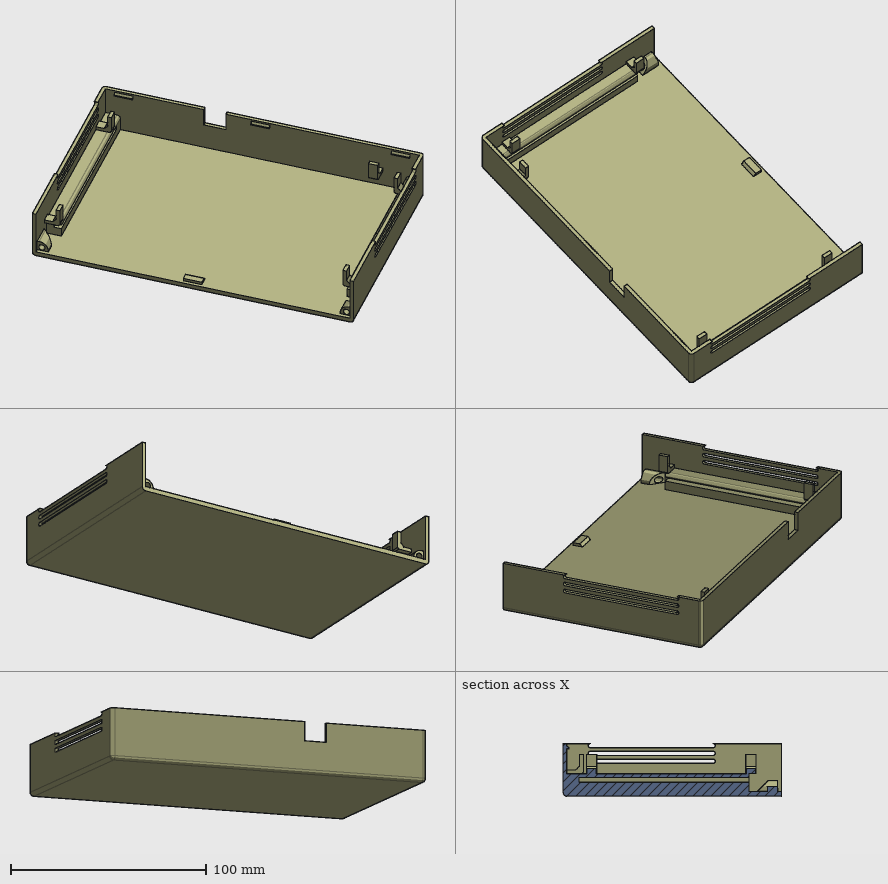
import cadquery as cq

LENGTH = 174.0
DEPTH = 112.0
HEIGHT = 27.0
WALL = 2.0
FLOOR = 2.5
EDGE_RADIUS = 2.0

VENT_FRONT = 34.0
VENT_BACK = 99.0
VENT_WIDTH = 2.0
VENT_PITCH = 4.0
VENT_COUNT = 3

NOTCH_LEFT = 55.2
NOTCH_WIDTH = 12.0
NOTCH_BOTTOM = 17.0

RAIL_FRONT = 16.6
RAIL_TOP = 11.6
RAIL_RADIUS = 1.9
LEFT_RAIL_REACH = 10.1
RIGHT_RAIL_REACH = 9.2
GROOVE_REACH = 6.1
GROOVE_LOW = 7.3
GROOVE_HIGH = 9.6
GROOVE_BACK = 103.7

CLIP_WIDTH = 5.0
CLIP_REACH = 10.4
CLIP_THICKNESS = 2.0
CLIP_TOP = 21.5
CLIP_FOOT = 1.9
CLIP_GUSSET = 1.9
CLIP_RELIEF = 0.8
LEFT_CLIP_CENTERS = (15.7, 97.4)
RIGHT_CLIP_CENTERS = (16.0, 97.0)
BACK_CLIP_CENTER = 149.8

BOSS_FRONT = 2.0
BOSS_REACH = 8.0
BOSS_RADIUS = 5.0
BOSS_SLOPE_SUM = 14.9
SCREW_DIAMETER = 3.3
SCREW_CENTER = 4.5

RIDGE_LENGTH = 10.0
RIDGE_INSET = 12.0
MIDDLE_RIDGE_CENTER = 86.0
RIDGE_DEPTH = 1.0
RIDGE_TOP = 26.0
RIDGE_CREST = 24.9
RIDGE_BOTTOM = 24.3
CATCH_CENTER = 86.2
CATCH_LENGTH = 10.0
CATCH_FRONT = 1.8
CATCH_DEPTH = 5.2
CATCH_FLAT = 3.7
CATCH_HEIGHT = 1.5


def box(x0, x1, y0, y1, z0, z1):
    """Axis-aligned box between two opposite corners."""
    return cq.Workplane("XY").box(x1 - x0, y1 - y0, z1 - z0, centered=False).translate((x0, y0, z0))


def extrude_along_y(points, y0, y1):
    """Closed (x, z) outline swept from y0 to y1."""
    return cq.Workplane("XZ", origin=(0, y0, 0)).polyline(points).close().extrude(y0 - y1)


def extrude_along_x(points, x0, x1):
    """Closed (y, z) outline swept from x0 to x1."""
    return cq.Workplane("YZ", origin=(x0, 0, 0)).polyline(points).close().extrude(x1 - x0)


def mirror_to_right(body):
    """Move a body from the left side wall to the right one."""
    return body.mirror("YZ", (LENGTH / 2, 0, 0))


def make_shell():
    outer = box(0, LENGTH, 0, DEPTH, 0, HEIGHT)
    outer = outer.edges("|Z and >Y").fillet(EDGE_RADIUS)
    outer = outer.faces("<Z").edges("not <Y").fillet(EDGE_RADIUS)
    return outer.cut(box(WALL, LENGTH - WALL, 0, DEPTH - WALL, FLOOR, HEIGHT))


def make_vents():
    vents = cq.Workplane("XY")
    for row in range(VENT_COUNT):
        height = HEIGHT - VENT_WIDTH / 2 - row * VENT_PITCH
        for x in (0, LENGTH - WALL):
            slot = (
                cq.Workplane("YZ", origin=(x, (VENT_FRONT + VENT_BACK) / 2, height))
                .slot2D(VENT_BACK - VENT_FRONT, VENT_WIDTH)
                .extrude(WALL)
            )
            vents = vents.add(slot)
    return vents.combine()


def make_notch():
    return box(NOTCH_LEFT, NOTCH_LEFT + NOTCH_WIDTH, DEPTH - WALL, DEPTH, NOTCH_BOTTOM, HEIGHT)


def make_rail(reach):
    """Left-hand rail: round-topped bar with a groove that runs out at its front end."""
    rail = box(WALL, reach, RAIL_FRONT, DEPTH - WALL, FLOOR, RAIL_TOP)
    rail = rail.edges("|Y and >X and >Z").fillet(RAIL_RADIUS)
    return rail.cut(box(GROOVE_REACH, reach, RAIL_FRONT, GROOVE_BACK, GROOVE_LOW, GROOVE_HIGH))


def make_clip(center):
    """Left-hand clip: foot, gusset and upright in one outline."""
    back = CLIP_REACH - CLIP_THICKNESS
    foot_top = RAIL_TOP + CLIP_FOOT
    outline = [
        (WALL, RAIL_TOP),
        (CLIP_REACH - CLIP_RELIEF, RAIL_TOP),
        (CLIP_REACH, RAIL_TOP + CLIP_RELIEF),
        (CLIP_REACH, CLIP_TOP),
        (back, CLIP_TOP),
        (back, foot_top + CLIP_GUSSET),
        (back - CLIP_GUSSET, foot_top),
        (WALL, foot_top),
    ]
    return extrude_along_y(outline, center - CLIP_WIDTH / 2, center + CLIP_WIDTH / 2)


def make_back_clip():
    """The same clip turned so that it grows out of the back wall."""
    clip = make_clip(0).rotate((0, 0, 0), (0, 0, 1), -90)
    return clip.translate((BACK_CLIP_CENTER, DEPTH, 0))


def make_boss():
    """Left-hand screw boss, square at the back and rounded along its free edge."""
    boss = box(WALL, BOSS_REACH, BOSS_FRONT, BOSS_SLOPE_SUM - WALL, FLOOR, BOSS_REACH)
    return boss.edges("|Y and >X and >Z").fillet(BOSS_RADIUS)


def make_left_boss():
    """The back face slopes towards the front with distance from the side wall."""
    waste = (
        cq.Workplane("XY")
        .polyline([(0, BOSS_SLOPE_SUM), (BOSS_SLOPE_SUM, 0), (BOSS_SLOPE_SUM, BOSS_SLOPE_SUM)])
        .close()
        .extrude(HEIGHT)
    )
    return make_boss().cut(waste)


def make_right_boss():
    """The back face slopes towards the front with height."""
    outline = [(BOSS_SLOPE_SUM, 0), (0, BOSS_SLOPE_SUM), (BOSS_SLOPE_SUM, BOSS_SLOPE_SUM)]
    waste = extrude_along_x(outline, 0, BOSS_REACH)
    return mirror_to_right(make_boss().cut(waste))


def make_screw_hole(x):
    return (
        cq.Workplane("XZ", origin=(x, BOSS_FRONT, SCREW_CENTER))
        .circle(SCREW_DIAMETER / 2)
        .extrude(BOSS_FRONT - BOSS_SLOPE_SUM)
    )


def make_ridge(center):
    inner = DEPTH - WALL
    crest = inner - RIDGE_DEPTH
    outline = [(inner, RIDGE_TOP), (crest, RIDGE_CREST), (crest, RIDGE_BOTTOM), (inner, RIDGE_BOTTOM)]
    return extrude_along_x(outline, center - RIDGE_LENGTH / 2, center + RIDGE_LENGTH / 2)


def make_catch():
    top = FLOOR + CATCH_HEIGHT
    outline = [
        (CATCH_FRONT, FLOOR),
        (CATCH_FRONT, top),
        (CATCH_FRONT + CATCH_FLAT, top),
        (CATCH_FRONT + CATCH_DEPTH, FLOOR),
    ]
    return extrude_along_x(outline, CATCH_CENTER - CATCH_LENGTH / 2, CATCH_CENTER + CATCH_LENGTH / 2)


result = make_shell().cut(make_vents())
result = result.cut(make_notch())
result = result.union(make_rail(LEFT_RAIL_REACH))
result = result.union(mirror_to_right(make_rail(RIGHT_RAIL_REACH)))
for clip_center in LEFT_CLIP_CENTERS:
    result = result.union(make_clip(clip_center))
for clip_center in RIGHT_CLIP_CENTERS:
    result = result.union(mirror_to_right(make_clip(clip_center)))
result = result.union(make_back_clip())
result = result.union(make_left_boss()).union(make_right_boss())
for hole_x in (SCREW_CENTER, LENGTH - SCREW_CENTER):
    result = result.cut(make_screw_hole(hole_x))
for ridge_center in (RIDGE_INSET, MIDDLE_RIDGE_CENTER, LENGTH - RIDGE_INSET):
    result = result.union(make_ridge(ridge_center))
result = result.union(make_catch())